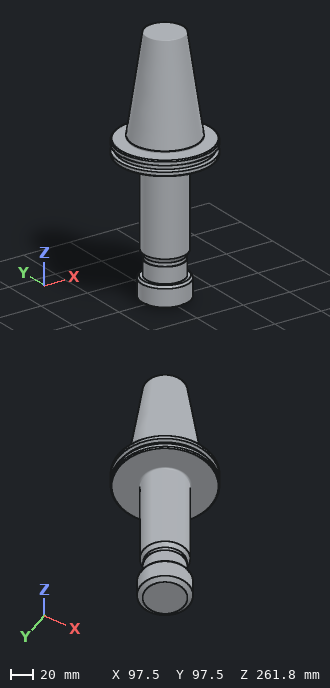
import cadquery as cq
import math


GAUGE_RADIUS = 69.85 / 2
TAPER_LENGTH = 101.75
TAPER_RATIO = 7 / 24
TAPER_TIP_ROUND = 1.0

RELIEF_RADIUS = 34.1
RELIEF_FILLET = 0.8
RELIEF_CHAMFER = GAUGE_RADIUS - RELIEF_RADIUS

FLANGE_RADIUS = 97.5 / 2
FLANGE_TOP = -3.2
FLANGE_BOTTOM = -19.1
FLANGE_CHAMFER = 1.2
GROOVE_CENTRE = -11.2
GROOVE_FLOOR_RADIUS = 91.25 / 2
GROOVE_MOUTH_WIDTH = 6.4
GROOVE_FLOOR_WIDTH = 3.6

SHANK_RADIUS = 22.5
SHANK_FILLET = 1.6
SHANK_BOTTOM = -111.2

NOSE_RADIUS = 20.0
RUNOUT_RADIUS = 19.7
RUNOUT_BOTTOM = -119.9
SHANK_CONE_ANGLE = 30.0

NUT_RADIUS = 25.0
NUT_TOP = -136.5
NUT_BOTTOM = -160.0
NUT_TOP_CHAMFER_WIDTH = 1.8
NUT_TOP_CHAMFER_HEIGHT = 2.6
NUT_FACE_RADIUS = 20.0
NUT_CONE_ANGLE = 30.0


def tan_deg(angle):
    return math.tan(math.radians(angle))


def revolve_profile(outline):
    return outline.close().revolve(360, (0, 0, 0), (0, 1, 0))


def make_taper():
    round_z = TAPER_LENGTH - TAPER_TIP_ROUND
    round_radius = GAUGE_RADIUS - round_z * TAPER_RATIO / 2
    outline = (
        cq.Workplane("XZ")
        .moveTo(0, TAPER_LENGTH)
        .lineTo(round_radius - TAPER_TIP_ROUND, TAPER_LENGTH)
        .radiusArc((round_radius, round_z), TAPER_TIP_ROUND)
        .lineTo(GAUGE_RADIUS, 0)
        .lineTo(RELIEF_RADIUS, -RELIEF_CHAMFER)
        .lineTo(RELIEF_RADIUS, FLANGE_TOP + RELIEF_FILLET)
        .radiusArc((RELIEF_RADIUS + RELIEF_FILLET, FLANGE_TOP), -RELIEF_FILLET)
        .lineTo(0, FLANGE_TOP)
    )
    return revolve_profile(outline)


def make_flange():
    mouth_half = GROOVE_MOUTH_WIDTH / 2
    floor_half = GROOVE_FLOOR_WIDTH / 2
    face_radius = FLANGE_RADIUS - FLANGE_CHAMFER
    outline = (
        cq.Workplane("XZ")
        .moveTo(0, FLANGE_TOP)
        .lineTo(face_radius, FLANGE_TOP)
        .lineTo(FLANGE_RADIUS, FLANGE_TOP - FLANGE_CHAMFER)
        .lineTo(FLANGE_RADIUS, GROOVE_CENTRE + mouth_half)
        .lineTo(GROOVE_FLOOR_RADIUS, GROOVE_CENTRE + floor_half)
        .lineTo(GROOVE_FLOOR_RADIUS, GROOVE_CENTRE - floor_half)
        .lineTo(FLANGE_RADIUS, GROOVE_CENTRE - mouth_half)
        .lineTo(FLANGE_RADIUS, FLANGE_BOTTOM + FLANGE_CHAMFER)
        .lineTo(face_radius, FLANGE_BOTTOM)
        .lineTo(0, FLANGE_BOTTOM)
    )
    return revolve_profile(outline)


def make_shank_and_nose():
    cone_bottom = SHANK_BOTTOM - (SHANK_RADIUS - RUNOUT_RADIUS) / tan_deg(SHANK_CONE_ANGLE)
    runout_step = NOSE_RADIUS - RUNOUT_RADIUS
    outline = (
        cq.Workplane("XZ")
        .moveTo(0, FLANGE_BOTTOM)
        .lineTo(SHANK_RADIUS + SHANK_FILLET, FLANGE_BOTTOM)
        .radiusArc((SHANK_RADIUS, FLANGE_BOTTOM - SHANK_FILLET), -SHANK_FILLET)
        .lineTo(SHANK_RADIUS, SHANK_BOTTOM)
        .lineTo(RUNOUT_RADIUS, cone_bottom)
        .lineTo(RUNOUT_RADIUS, RUNOUT_BOTTOM + runout_step)
        .lineTo(NOSE_RADIUS, RUNOUT_BOTTOM)
        .lineTo(NOSE_RADIUS, NUT_TOP)
        .lineTo(0, NUT_TOP)
    )
    return revolve_profile(outline)


def make_nut():
    cone_height = (NUT_RADIUS - NUT_FACE_RADIUS) * tan_deg(NUT_CONE_ANGLE)
    outline = (
        cq.Workplane("XZ")
        .moveTo(0, NUT_TOP)
        .lineTo(NUT_RADIUS - NUT_TOP_CHAMFER_WIDTH, NUT_TOP)
        .lineTo(NUT_RADIUS, NUT_TOP - NUT_TOP_CHAMFER_HEIGHT)
        .lineTo(NUT_RADIUS, NUT_BOTTOM + cone_height)
        .lineTo(NUT_FACE_RADIUS, NUT_BOTTOM)
        .lineTo(0, NUT_BOTTOM)
    )
    return revolve_profile(outline)


result = make_taper().union(make_flange()).union(make_shank_and_nose()).union(make_nut())